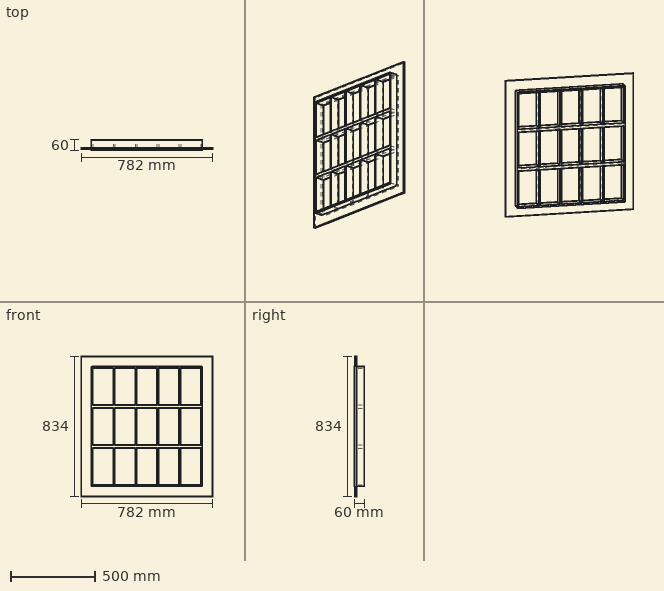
import cadquery as cq

flange_width = 782.0
flange_height = 834.0
flange_thickness = 10.0
flange_margin = 60.0

body_depth = 60.0
front_lip = 3.0
corner_radius = 10.0
body_width = flange_width - 2 * flange_margin
body_height = flange_height - 2 * flange_margin

columns = 5
rows = 3
wall = 10.0
upright_thickness = 10.0
crossbar_thickness = 20.0
window_width = (body_width - 2 * wall - (columns - 1) * upright_thickness) / columns
window_height = (body_height - 2 * wall - (rows - 1) * crossbar_thickness) / rows
column_pitch = window_width + upright_thickness
row_pitch = window_height + crossbar_thickness


def slab(width, height, depth, front):
    """Box centred in X and Z, extending toward +Y from its front face."""
    return cq.Workplane("XY").box(width, depth, height).translate((0, front + depth / 2, 0))


flange = slab(flange_width, flange_height, flange_thickness, front_lip)
body = slab(body_width, body_height, body_depth, 0).edges("|Y").fillet(corner_radius)

windows = (
    cq.Workplane("XZ")
    .rarray(column_pitch, row_pitch, columns, rows)
    .rect(window_width, window_height)
    .extrude(-body_depth)
)

result = flange.union(body).cut(windows)